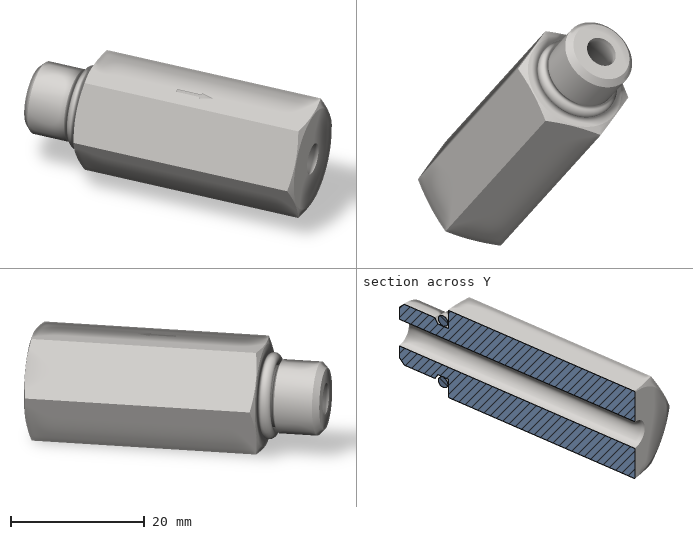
import cadquery as cq
import math

total_length = 44.45
hex_across_flats = 15.85
hex_across_corners = hex_across_flats / math.cos(math.radians(30))
bore_diameter = 4.75

hex_start = 9.15
hex_end_diameter = 15.5
hex_chamfer_angle = 20.0

spigot_diameter = 11.1
nose_diameter = 9.3
nose_chamfer = (spigot_diameter - nose_diameter) / 2
shoulder_x = 6.7
neck_diameter = 9.3
shoulder_angle = 60.0

ring_section = 1.85
ring_center_x = hex_start - ring_section / 2
ring_center_radius = (neck_diameter + ring_section) / 2

arrow_tail_x = 23.15
arrow_tip_x = 29.0
arrow_head_length = 1.95
arrow_shaft_width = 0.7
arrow_head_width = 1.42
arrow_y = -1.35
arrow_depth = 0.1


def make_spigot():
    """Revolve the spigot: nose chamfer, full diameter, shoulder cone and neck."""
    spigot_radius = spigot_diameter / 2
    neck_radius = neck_diameter / 2
    cone_length = (spigot_radius - neck_radius) / math.tan(math.radians(shoulder_angle))
    return (
        cq.Workplane("XY")
        .moveTo(0, 0)
        .lineTo(0, nose_diameter / 2)
        .lineTo(nose_chamfer, spigot_radius)
        .lineTo(shoulder_x, spigot_radius)
        .lineTo(shoulder_x + cone_length, neck_radius)
        .lineTo(hex_start, neck_radius)
        .lineTo(hex_start, 0)
        .close()
        .revolve(360, (0, 0, 0), (1, 0, 0))
    )


def make_hexagon():
    """Hexagonal bar along X, corners on +Y and -Y, chamfered conically at both ends."""
    bar = (
        cq.Workplane("YZ", origin=(hex_start, 0, 0))
        .polygon(6, hex_across_corners)
        .extrude(total_length - hex_start)
    )
    end_radius = hex_end_diameter / 2
    corner_radius = hex_across_corners / 2
    chamfer_length = (corner_radius - end_radius) * math.tan(math.radians(hex_chamfer_angle))
    envelope = (
        cq.Workplane("XY")
        .moveTo(hex_start, 0)
        .lineTo(hex_start, end_radius)
        .lineTo(hex_start + chamfer_length, corner_radius)
        .lineTo(total_length - chamfer_length, corner_radius)
        .lineTo(total_length, end_radius)
        .lineTo(total_length, 0)
        .close()
        .revolve(360, (0, 0, 0), (1, 0, 0))
    )
    return bar.intersect(envelope)


def make_arrow_cutter():
    """Arrow pointing to +X, sunk into the top flat."""
    head_x = arrow_tip_x - arrow_head_length
    half_shaft = arrow_shaft_width / 2
    half_head = arrow_head_width / 2
    return (
        cq.Workplane("XY", origin=(0, arrow_y, hex_across_flats / 2))
        .moveTo(arrow_tail_x, -half_shaft)
        .lineTo(head_x, -half_shaft)
        .lineTo(head_x, -half_head)
        .lineTo(arrow_tip_x, 0)
        .lineTo(head_x, half_head)
        .lineTo(head_x, half_shaft)
        .lineTo(arrow_tail_x, half_shaft)
        .close()
        .extrude(-arrow_depth)
    )


def make_housing():
    """Spigot and hexagon in one piece, with the bore running right through."""
    bore = cq.Workplane("YZ").circle(bore_diameter / 2).extrude(total_length)
    return make_spigot().union(make_hexagon()).cut(bore).cut(make_arrow_cutter())


def make_o_ring():
    """Round-section seal ring around the neck."""
    return (
        cq.Workplane("XY")
        .center(ring_center_x, ring_center_radius)
        .circle(ring_section / 2)
        .revolve(360, (0, -ring_center_radius, 0), (1, -ring_center_radius, 0))
    )


housing = make_housing()
o_ring = make_o_ring()

result = cq.Compound.makeCompound([housing.val(), o_ring.val()])